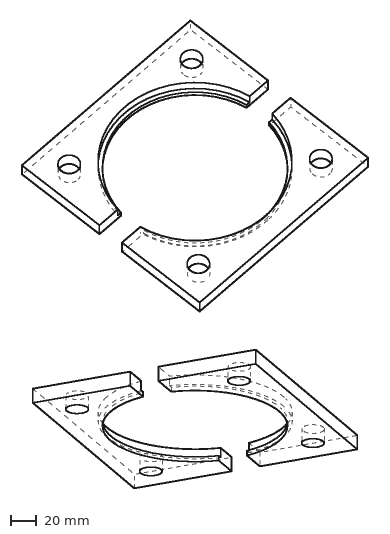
import cadquery as cq

flange_side = 190.0
thickness = 12.0
gap = 24.0

opening_diameter = 150.5
lip_bore_diameter = 143.5
lip_height = 4.0

bolt_hole_diameter = 17.5
bolt_spacing = 138.0

half_width = (flange_side - gap) / 2
half_center_x = (gap + half_width) / 2


def stepped_opening():
    """Solid to remove for the round opening, leaving the lip at the bottom."""
    lip_bore = cq.Workplane("XY").circle(lip_bore_diameter / 2).extrude(thickness)
    upper_bore = (
        cq.Workplane("XY")
        .workplane(offset=lip_height)
        .circle(opening_diameter / 2)
        .extrude(thickness - lip_height)
    )
    return lip_bore.union(upper_bore)


def bolt_holes():
    """Cylinders to remove for the four through holes."""
    return (
        cq.Workplane("XY")
        .rect(bolt_spacing, bolt_spacing, forConstruction=True)
        .vertices()
        .circle(bolt_hole_diameter / 2)
        .extrude(thickness)
    )


def flange_half(side):
    """One half of the split flange: side is -1 for the -X half, +1 for the +X half."""
    plate = (
        cq.Workplane("XY")
        .center(side * half_center_x, 0)
        .rect(half_width, flange_side)
        .extrude(thickness)
    )
    return plate.cut(stepped_opening()).cut(bolt_holes())


flange_halves = [flange_half(side) for side in (-1, 1)]

result = cq.Compound.makeCompound([half.val() for half in flange_halves])